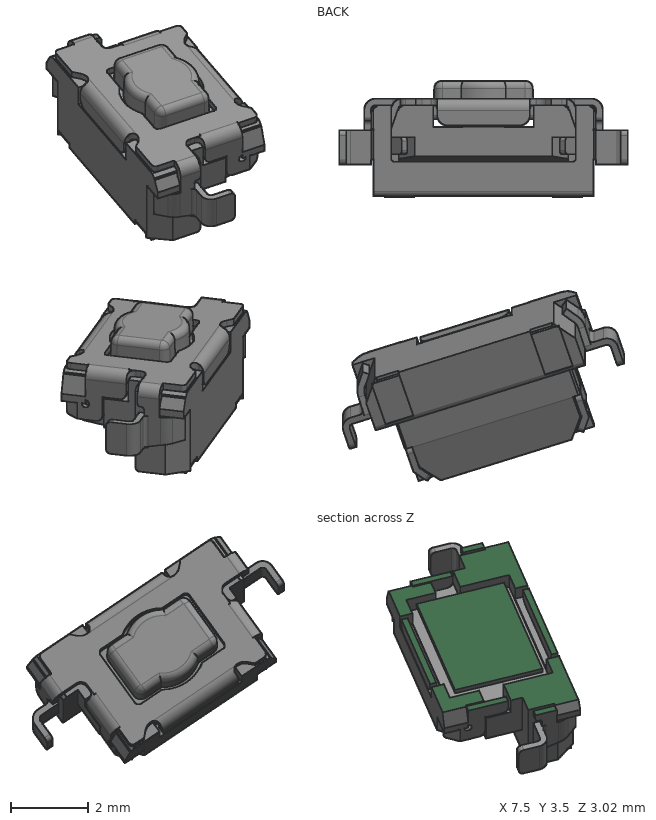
import cadquery as cq
import math


TOTAL_H = 3.02
BODY_BOTTOM = 0.025
FLANGE_BOTTOM = 1.765
REAR_FLANGE_BOTTOM = 1.56
BODY_TOP = 2.38
SHEET = 0.18
COVER_TOP = BODY_TOP + SHEET

HALF_DEPTH = 1.75
FRONT_HALF_W = 2.86
REAR_HALF_W = 2.2
STEP_Y = -0.385
CORNER_CUT_X = 0.41
CORNER_CUT_Y = 0.55
FOOT_EDGE_R = 0.12
REAR_BOTTOM_LOW = 0.92
REAR_BOTTOM_HIGH = 1.06
TOP_BEVEL_X = 0.11
TOP_BEVEL_Z = 0.08
SHOULDER_Z = 2.26
FRONT_FLANGE_HALF_W = 3.06
FRONT_FLANGE_EDGE_Z = 1.965
REAR_FLANGE_HALF_W = 2.4
FRONT_FLANGE_Y = -1.1
REAR_FLANGE_Y = 1.1
SHOULDER_INSET = 0.17
TOP_INSET = 0.32
SIDE_BLOCK_Y = 0.6
SIDE_BLOCK_TOP_Y = -0.06
SIDE_BLOCK_BEVEL = 0.055
NOTCH_HALF_W = 1.3
NOTCH_FLOOR = 1.82
CAVITY_HALF_W = 1.8
CAVITY_HALF_D = 1.4

PAD_X = (1.8, 2.56)
PAD_Y = (-1.67, -0.5)
PAD_NOTCH_END_X = 2.4
PAD_NOTCH_TOP = 0.16

BEND_R = 0.3
BEND_Z = COVER_TOP - BEND_R
FRONT_LEG_X = 3.1
REAR_LEG_X = REAR_FLANGE_HALF_W
FRONT_LEG_Y = (FRONT_FLANGE_Y, -0.51)
REAR_LEG_Y = (0.0, REAR_FLANGE_Y)
PLATE_FRONT_X = 2.74
PLATE_REAR_X = 2.156
PLATE_HALF_D = 1.7
EAR_INNER_X = 1.76
EAR_ROOT_R = 0.34
PLATE_CORNER_R = 0.12
PLATE_STEP_R = 0.2
OPENING_HALF_W = 1.41
OPENING_HALF_D = 0.9
OPENING_R = 1.1
OPENING_CORNER_R = 0.12
TAB_HALF_W = 1.2
TAB_ROOT_R = 0.16
TAB_BOTTOM = 1.86
TAB_CORNER_R = 0.25

FOLD_ANGLE = math.degrees(math.atan2(CORNER_CUT_X, CORNER_CUT_Y))
FRONT_FOLD_Y = -1.13
FRONT_FOLD_R = 0.5
FRONT_FLAP_LENGTH = 0.36
REAR_FOLD_Y = 1.32
REAR_FLAP_END_Y = 1.69
REAR_FLAP_R = 0.1
ARM_FRONT_Y = 0.64
ARM_BOTTOM = 1.11
ARM_R = 0.17
REAR_LEG_BOTTOM = 1.805
REAR_LEG_R = 0.17
REAR_LEG_ROOT_R = 0.185
RELIEF_R = 0.1

FOOT_X = 3.75
FOOT_TIP_Y = 0.155
FOOT_TIP_R = 0.13
FOOT_R = 0.29
FOOT_ROOT_R = 0.1
FOOT_Z = (0.84, 1.74)
CLIMB_START_Y = -0.65
FOLD_BOTTOM = 0.955
FLAP_BOTTOM = 1.05
RELIEF_Y = -0.69
RELIEF_TOP = 1.98
RELIEF_CORNER_R = 0.08

BUTTON_HALF_W = 1.3
BUTTON_HALF_D = 0.8
BUTTON_R = 0.99
BUTTON_DRAFT = 2
BUTTON_CORNER_R = 0.23
BUTTON_EDGE_R = 0.2
BASE_HALF_W = 1.6
BASE_HALF_D = 1.2
BASE_BOTTOM = 2.015
BASE_EDGE_R = 0.11
STEM_D = 1.1


def box(x, y, z):
    """Axis-aligned box from (low, high) pairs."""
    size = (x[1] - x[0], y[1] - y[0], z[1] - z[0])
    return cq.Workplane("XY").box(*size, centered=False).translate((x[0], y[0], z[0]))


def plan_prism(points, z):
    return cq.Workplane("XY", origin=(0, 0, z[0])).polyline(points).close().extrude(z[1] - z[0])


def profile_along_y(points, y):
    """Extrude an XZ outline between two Y positions."""
    return cq.Workplane("XZ", origin=(0, y[1], 0)).polyline(points).close().extrude(y[1] - y[0])


def profile_along_x(points, x):
    """Extrude a YZ outline between two X positions."""
    return cq.Workplane("YZ", origin=(x[0], 0, 0)).polyline(points).close().extrude(x[1] - x[0])


def both_sides(half):
    return half.union(half.mirror("YZ"))


def mirrored_outline(points):
    """Complete an outline given on +X with its mirror image."""
    return points + [(-x, y) for x, y in reversed(points)]


def quarter_bend(plane, outer, width, origin):
    """Quarter-round sheet bend from the cover's flat top to a vertical face at `outer`."""
    center = outer - BEND_R
    inner_r = BEND_R - SHEET
    diagonal = math.sqrt(0.5)
    return (
        cq.Workplane(plane, origin=origin)
        .moveTo(center, COVER_TOP)
        .threePointArc((center + BEND_R * diagonal, BEND_Z + BEND_R * diagonal), (outer, BEND_Z))
        .lineTo(outer - SHEET, BEND_Z)
        .threePointArc((center + inner_r * diagonal, BEND_Z + inner_r * diagonal), (center, BODY_TOP))
        .close()
        .extrude(width / 2, both=True)
    )


def side_bend(outer_x, y):
    return quarter_bend("XZ", outer_x, y[1] - y[0], (0, sum(y) / 2, 0))


def front_block():
    outline = mirrored_outline([
        (FRONT_HALF_W - CORNER_CUT_X, -HALF_DEPTH),
        (FRONT_HALF_W, -HALF_DEPTH + CORNER_CUT_Y),
        (FRONT_HALF_W, STEP_Y),
    ])
    block = plan_prism(outline, (BODY_BOTTOM, FLANGE_BOTTOM))
    return block.faces(">Y").edges("<Z").fillet(FOOT_EDGE_R)


def rear_block():
    outline = mirrored_outline([
        (REAR_HALF_W, STEP_Y),
        (REAR_HALF_W, HALF_DEPTH - CORNER_CUT_Y),
        (REAR_HALF_W - CORNER_CUT_X, HALF_DEPTH),
    ])
    side = [
        (STEP_Y, REAR_BOTTOM_LOW),
        (SIDE_BLOCK_Y, REAR_BOTTOM_LOW),
        (HALF_DEPTH, REAR_BOTTOM_HIGH),
        (HALF_DEPTH, FLANGE_BOTTOM),
        (STEP_Y, FLANGE_BOTTOM),
    ]
    block = plan_prism(outline, (REAR_BOTTOM_LOW, FLANGE_BOTTOM))
    return block.intersect(profile_along_x(side, (-REAR_HALF_W, REAR_HALF_W)))


def beveled_slab(half_w, y):
    """Upper part of the body, beveled along its top side edges."""
    profile = mirrored_outline([
        (half_w, FLANGE_BOTTOM),
        (half_w, BODY_TOP - TOP_BEVEL_Z),
        (half_w - TOP_BEVEL_X, BODY_TOP),
    ])
    return profile_along_y(profile, y)


def flange(half_w, bottom, edge_z, y):
    """Full-width stretch of the body with a two-slope roof on each side."""
    profile = mirrored_outline([
        (half_w, bottom),
        (half_w, edge_z),
        (half_w - SHOULDER_INSET, SHOULDER_Z),
        (half_w - TOP_INSET, BODY_TOP),
    ])
    return profile_along_y(profile, y)


def side_block():
    x = (-REAR_FLANGE_HALF_W, REAR_FLANGE_HALF_W)
    low = box(x, (STEP_Y, SIDE_BLOCK_Y), (REAR_BOTTOM_LOW, FLANGE_BOTTOM))
    low = low.faces("<Z").edges("|Y").chamfer(SIDE_BLOCK_BEVEL)
    return low.union(box(x, (STEP_Y, SIDE_BLOCK_TOP_Y), (FLANGE_BOTTOM, BODY_TOP)))


def body_openings():
    """Hollow inside the body, with openings to the front, the rear and both sides."""
    cavity = box(
        (-CAVITY_HALF_W, CAVITY_HALF_W), (-CAVITY_HALF_D, CAVITY_HALF_D), (FLANGE_BOTTOM, BODY_TOP)
    )
    notches = box(
        (-NOTCH_HALF_W, NOTCH_HALF_W), (-HALF_DEPTH, HALF_DEPTH), (NOTCH_FLOOR, BODY_TOP)
    )
    windows = box(
        (-REAR_FLANGE_HALF_W, REAR_FLANGE_HALF_W),
        (SIDE_BLOCK_TOP_Y, SIDE_BLOCK_Y),
        (FLANGE_BOTTOM, BODY_TOP),
    )
    return cavity.union(notches).union(windows)


def make_body():
    body = front_block().union(rear_block())
    body = body.union(beveled_slab(FRONT_HALF_W, (-HALF_DEPTH, STEP_Y)))
    body = body.union(beveled_slab(REAR_HALF_W, (STEP_Y, HALF_DEPTH)))
    body = body.union(
        flange(FRONT_FLANGE_HALF_W, FLANGE_BOTTOM, FRONT_FLANGE_EDGE_Z, (-HALF_DEPTH, FRONT_FLANGE_Y))
    )
    body = body.union(
        flange(REAR_FLANGE_HALF_W, REAR_FLANGE_BOTTOM, FLANGE_BOTTOM, (REAR_FLANGE_Y, HALF_DEPTH))
    )
    body = body.union(side_block()).cut(body_openings())
    pad_notch = box((PAD_X[0], PAD_NOTCH_END_X), (-HALF_DEPTH, PAD_Y[0]), (0, PAD_NOTCH_TOP))
    pad = box(PAD_X, PAD_Y, (0, BODY_BOTTOM))
    return body.cut(both_sides(pad_notch)).union(both_sides(pad))


def cover_plate():
    tab_root_y = HALF_DEPTH - BEND_R
    ear_drop_x = EAR_INNER_X - (PLATE_HALF_D - tab_root_y)
    front_bend_x = FRONT_LEG_X - BEND_R
    rear_bend_x = REAR_LEG_X - BEND_R
    outline = mirrored_outline([
        (ear_drop_x, -tab_root_y),
        (EAR_INNER_X, -PLATE_HALF_D),
        (PLATE_FRONT_X, -PLATE_HALF_D),
        (PLATE_FRONT_X, FRONT_LEG_Y[0]),
        (front_bend_x, FRONT_LEG_Y[0]),
        (front_bend_x, FRONT_LEG_Y[1]),
        (PLATE_REAR_X, FRONT_LEG_Y[1]),
        (PLATE_REAR_X, REAR_LEG_Y[0]),
        (rear_bend_x, REAR_LEG_Y[0]),
        (rear_bend_x, REAR_LEG_Y[1]),
        (PLATE_REAR_X, REAR_LEG_Y[1]),
        (PLATE_REAR_X, PLATE_HALF_D),
        (EAR_INNER_X, PLATE_HALF_D),
        (ear_drop_x, tab_root_y),
    ])
    plate = plan_prism(outline, (BODY_TOP, COVER_TOP))
    for side in (-1, 1):
        for x, y, radius in (
            (ear_drop_x, -tab_root_y, EAR_ROOT_R),
            (ear_drop_x, tab_root_y, EAR_ROOT_R),
            (PLATE_FRONT_X, -PLATE_HALF_D, PLATE_CORNER_R),
            (PLATE_REAR_X, PLATE_HALF_D, PLATE_CORNER_R),
            (PLATE_REAR_X, FRONT_LEG_Y[1], PLATE_STEP_R),
        ):
            corner = plate.edges(cq.selectors.NearestToPointSelector((side * x, y, BODY_TOP + SHEET / 2)))
            plate = corner.fillet(radius)
    return plate.cut(button_opening())


def button_opening():
    height = COVER_TOP - BODY_TOP
    opening = box(
        (-OPENING_HALF_W, OPENING_HALF_W), (-OPENING_HALF_D, OPENING_HALF_D), (BODY_TOP, COVER_TOP)
    )
    opening = opening.edges("|Z").fillet(OPENING_CORNER_R)
    return opening.union(cq.Workplane("XY", origin=(0, 0, BODY_TOP)).circle(OPENING_R).extrude(height))


def rear_tab():
    """Tab folded down over the rear face, with fillets where it leaves the plate."""
    root_half_w = TAB_HALF_W + TAB_ROOT_R
    bend = quarter_bend("YZ", HALF_DEPTH, 2 * root_half_w, (0, 0, 0))
    trim = box(
        (TAB_HALF_W, root_half_w + SHEET), (HALF_DEPTH - BEND_R, HALF_DEPTH), (BEND_Z, COVER_TOP)
    )
    trim = trim.edges("|Z and <X and <Y").fillet(TAB_ROOT_R)
    flat = box((-TAB_HALF_W, TAB_HALF_W), (HALF_DEPTH - SHEET, HALF_DEPTH), (TAB_BOTTOM, BEND_Z))
    flat = flat.edges("|Y and <Z").fillet(TAB_CORNER_R)
    return bend.cut(both_sides(trim)).union(flat)


def front_leg():
    """Front side leg: bend and upper plate, relieved above the solder foot."""
    x = (FRONT_LEG_X - SHEET, FRONT_LEG_X)
    plate = box(x, FRONT_LEG_Y, (FOOT_Z[1], BEND_Z))
    relief = box(x, (RELIEF_Y, FRONT_LEG_Y[1]), (FOOT_Z[1], RELIEF_TOP))
    relief = relief.edges("|X and >Z and <Y").fillet(RELIEF_CORNER_R)
    plate = plate.cut(relief)
    plate = plate.edges(
        cq.selectors.NearestToPointSelector((FRONT_LEG_X - SHEET / 2, FRONT_LEG_Y[1], RELIEF_TOP))
    ).fillet(RELIEF_CORNER_R)
    return side_bend(FRONT_LEG_X, FRONT_LEG_Y).union(plate)


def front_strip():
    """Lower strip of the front leg: solder foot at one end, flap along the body corner at the other."""
    angle = math.radians(FOLD_ANGLE)
    inner_x = FRONT_LEG_X - SHEET
    foot_rear_y = FRONT_LEG_Y[1]
    foot_front_y = foot_rear_y - SHEET
    foot_bend_y = foot_front_y + FOOT_R
    fold_center_x = FRONT_LEG_X - FRONT_FOLD_R

    def fold_point(radius, length):
        """Point on the flap, `length` past the end of the fold arc."""
        return (
            fold_center_x + radius * math.cos(angle) - length * math.sin(angle),
            FRONT_FOLD_Y - radius * math.sin(angle) - length * math.cos(angle),
        )

    def fold_middle(radius):
        return (
            fold_center_x + radius * math.cos(angle / 2),
            FRONT_FOLD_Y - radius * math.sin(angle / 2),
        )

    inner_fold_r = FRONT_FOLD_R - SHEET
    strip = (
        cq.Workplane("XY", origin=(0, 0, FOOT_Z[0]))
        .moveTo(FOOT_X - SHEET, FOOT_TIP_Y)
        .lineTo(FOOT_X, FOOT_TIP_Y)
        .lineTo(FOOT_X, foot_bend_y)
        .tangentArcPoint((FOOT_X - FOOT_R, foot_front_y), relative=False)
        .lineTo(FRONT_LEG_X + FOOT_ROOT_R, foot_front_y)
        .tangentArcPoint((FRONT_LEG_X, foot_front_y - FOOT_ROOT_R), relative=False)
        .lineTo(FRONT_LEG_X, FRONT_FOLD_Y)
        .threePointArc(fold_middle(FRONT_FOLD_R), fold_point(FRONT_FOLD_R, 0))
        .lineTo(*fold_point(FRONT_FOLD_R, FRONT_FLAP_LENGTH))
        .lineTo(*fold_point(inner_fold_r, FRONT_FLAP_LENGTH))
        .lineTo(*fold_point(inner_fold_r, 0))
        .threePointArc(fold_middle(inner_fold_r), (inner_x, FRONT_FOLD_Y))
        .lineTo(inner_x, foot_rear_y)
        .lineTo(FOOT_X - FOOT_R, foot_rear_y)
        .tangentArcPoint((FOOT_X - SHEET, foot_bend_y), relative=False)
        .close()
        .extrude(FOOT_Z[1] - FOOT_Z[0])
    )
    strip = strip.faces(">Y").edges("|X").fillet(FOOT_TIP_R)
    climb = [
        (CLIMB_START_Y, FOOT_Z[0]),
        (FRONT_FOLD_Y, FOLD_BOTTOM),
        (-HALF_DEPTH, FLAP_BOTTOM),
        (-HALF_DEPTH, FOOT_Z[0]),
    ]
    return strip.cut(profile_along_x(climb, (0, FRONT_LEG_X)))


def rear_leg():
    """Rear side leg: bend, plate and lower arm ending in a flap behind the body corner."""
    x = (REAR_LEG_X - SHEET, REAR_LEG_X)
    angle = math.radians(FOLD_ANGLE)
    inner_fold_y = REAR_FOLD_Y - SHEET * math.tan(angle / 2)
    bend_y = (REAR_LEG_Y[0] - REAR_LEG_ROOT_R, REAR_LEG_Y[1])
    trim_x = (PLATE_REAR_X, REAR_LEG_X + SHEET)
    trim = box(trim_x, (bend_y[0] - SHEET, REAR_LEG_Y[0]), (BEND_Z, COVER_TOP))
    trim = trim.edges("|Z and <X and >Y").fillet(REAR_LEG_ROOT_R)
    bend = side_bend(REAR_LEG_X, bend_y).cut(trim)
    upper = box(x, REAR_LEG_Y, (REAR_LEG_BOTTOM, BEND_Z))
    upper = upper.edges("|X and <Z and <Y").fillet(REAR_LEG_R)
    middle = box(x, (ARM_FRONT_Y, REAR_LEG_Y[1]), (REAR_FLANGE_BOTTOM, REAR_LEG_BOTTOM))
    arm = box(x, (ARM_FRONT_Y, inner_fold_y), (ARM_BOTTOM, REAR_FLANGE_BOTTOM))
    arm = arm.edges("|X and <Z and <Y").fillet(ARM_R)
    corner = [(x[0], inner_fold_y), (x[1], inner_fold_y), (x[1], REAR_FOLD_Y)]
    corner = plan_prism(corner, (ARM_BOTTOM, REAR_FLANGE_BOTTOM))
    flap_length = (REAR_FLAP_END_Y - REAR_FOLD_Y) / math.cos(angle)
    flap = box((-SHEET, 0), (0, flap_length), (ARM_BOTTOM, REAR_FLANGE_BOTTOM))
    flap = flap.edges("|X and >Y").fillet(REAR_FLAP_R)
    flap = flap.rotate((0, 0, 0), (0, 0, 1), FOLD_ANGLE).translate((REAR_LEG_X, REAR_FOLD_Y, 0))
    relief = (
        cq.Workplane("YZ", origin=(x[0], 0, 0))
        .center(REAR_LEG_Y[1], REAR_FLANGE_BOTTOM)
        .circle(RELIEF_R)
        .extrude(SHEET)
    )
    leg = bend.union(upper).union(middle).union(arm)
    return leg.union(corner).union(flap).cut(relief)


def make_cover():
    tab = rear_tab()
    legs = front_leg().union(front_strip()).union(rear_leg())
    return cover_plate().union(tab).union(tab.mirror("XZ")).union(both_sides(legs))


def make_button():
    """Push button on a flange below the cover, with a stem down to the cavity floor."""
    height = TOTAL_H - BODY_TOP
    footprint = cq.Sketch().rect(2 * BUTTON_HALF_W, 2 * BUTTON_HALF_D).vertices().fillet(BUTTON_CORNER_R)
    bottom = cq.Workplane("XY", origin=(0, 0, BODY_TOP))
    cap = bottom.placeSketch(footprint).extrude(height, taper=BUTTON_DRAFT)
    cap = cap.union(bottom.circle(BUTTON_R).extrude(height, taper=BUTTON_DRAFT))
    cap = cap.faces(">Z").edges().fillet(BUTTON_EDGE_R)
    base = box((-BASE_HALF_W, BASE_HALF_W), (-BASE_HALF_D, BASE_HALF_D), (BASE_BOTTOM, BODY_TOP))
    base = base.faces("<Z").edges().fillet(BASE_EDGE_R)
    stem = cq.Workplane("XY", origin=(0, 0, FLANGE_BOTTOM)).circle(STEM_D / 2)
    stem = stem.extrude(BASE_BOTTOM - FLANGE_BOTTOM)
    return cap.union(base).union(stem)


result = make_body().union(make_cover()).union(make_button())